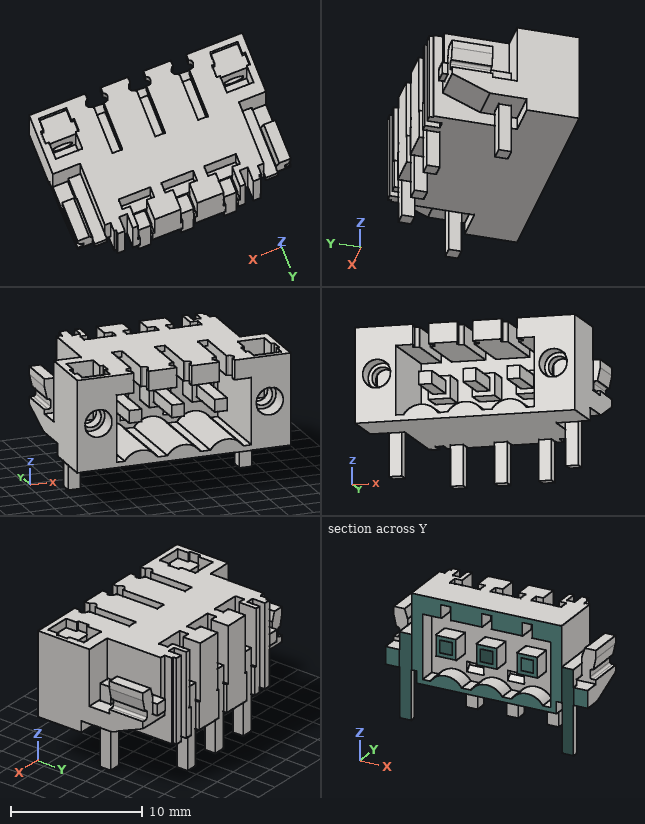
import cadquery as cq
import math

LENGTH = 17.45
DEPTH = 11.05
HEIGHT = 7.45
MOUNT_X = 7.0
PITCH = MOUNT_X / 2
CONTACT_XS = [-PITCH, 0.0, PITCH]
SIDES = (-1, 1)

PIN = 1.01
PIN_Z = 3.5
PIN_TOP = PIN_Z + PIN / 2
PIN_BOTTOM = PIN_Z - PIN / 2
LEG_END = -3.2
CONTACT_FRONT = 1.24
CONTACT_BACK = 10.71
MOUNT_FRONT = 5.03
MOUNT_BACK = 10.49

CORE_HALF = 6.02
CORE_BACK = 10.75
TAIL_HALF = 5.85
WALL_HALF = MOUNT_X - PIN / 2
WALL_BACK = 10.05

FLANGE_BACK = 4.92
FOOT_BACK = 4.15
FOOT_TOP = 1.01
ARM_SLOPE_START = 7.07
ARM_TIP_Z = 2.27
ARM_TOP = 2.53
LATCH_FRONT = 6.84
LATCH_TOP = 5.34
LATCH_TOP_WIDTH = 0.96
LATCH_BEVEL_Z = 4.54
LATCH_LIP_Z = 4.7
HOOK_INSET = 0.23
GROOVE_DEPTH = 0.5
GROOVE_TOP = 3.68
GROOVE_BOTTOM = 2.88
GROOVE_FILLET = 0.2

CAVITY_HALF = 5.5
CAVITY_FLOOR = 0.45
CAVITY_TOP = 5.86
CAVITY_DEPTH = 6.98
RIB_HALF = 1.36
RIB_HEIGHT = 0.72
COLLAR = 1.76
COLLAR_FRONT = 5.0
WINDOW_X = PITCH / 2
WINDOW_WIDTH = 1.43
WINDOW_BOTTOM = 1.15
WINDOW_SILL = 1.57
WINDOW_TOP = 1.99

SLOT_WIDTH = 0.82
SLOT_BACK = 5.08
SLOT_ROOF = 6.98
MOUTH_WIDTH = 1.24
BULGE_LENGTH = 1.75
BULGE_WIDTH = 0.7
BULGE_Y = 0.82

TEE_WIDTH = 2.6
TEE_FRONT = 8.59
TEE_BACK = 9.4
TEE_FLOOR = 4.36
NECK_WIDTH = 1.35
NECK_FRONT = 9.45
NECK_STEP = 10.52
NECK_STEP_Z = 2.45
NOTCH_INNER = 4.6
NOTCH_OUTER = 5.25
NOTCH_FRONT = 9.88

BORE_RADIUS = 1.1
BORE_DEPTH = 1.5
PILOT_RADIUS = 0.8
SCREW_Z = 3.77
POCKET_FRONT = 0.52
POCKET_WIDE_FRONT = 1.52
POCKET_WIDE_BACK = 2.51
POCKET_BACK = 3.91
POCKET_WIDTH = 2.25
POCKET_WIDE = 2.72
WELL_WIDTH = 2.18
POCKET_SHELF = 6.67
POCKET_FLOOR = SCREW_Z - BORE_RADIUS


def block(x0, x1, y0, y1, z0, z1):
    """Box between two opposite corners."""
    return cq.Workplane("XY").box(x1 - x0, y1 - y0, z1 - z0, centered=False).translate((x0, y0, z0))


def centred_block(x, width, y0, y1, z0, z1):
    """Box of the given width centred on x."""
    return block(x - width / 2, x + width / 2, y0, y1, z0, z1)


def side_profile(points, x0, x1):
    """(Y, Z) outline extruded along X from x0 to x1."""
    return cq.Workplane("YZ", origin=(x0, 0, 0)).polyline(points).close().extrude(x1 - x0)


def both_sides(shape):
    """A shape of the -X side together with its mirror image."""
    return shape.union(shape.mirror("YZ"))


def contact_pin(x):
    """Contact: a horizontal arm with a leg down from its rear end."""
    arm = centred_block(x, PIN, CONTACT_FRONT, CONTACT_BACK, PIN_BOTTOM, PIN_TOP)
    leg = centred_block(x, PIN, CONTACT_BACK - PIN, CONTACT_BACK, LEG_END, PIN_TOP)
    return arm.union(leg)


def mounting_pin(x):
    """Mounting pin: a horizontal arm with a leg down from its front end."""
    arm = centred_block(x, PIN, MOUNT_FRONT, MOUNT_BACK, PIN_BOTTOM, PIN_TOP)
    leg = centred_block(x, PIN, MOUNT_FRONT, MOUNT_FRONT + PIN, LEG_END, PIN_TOP)
    return arm.union(leg)


def latch():
    """Hooked latch on the -X arm; its base fills the space below the mounting pin arm."""
    outer = -LENGTH / 2
    inner = -MOUNT_X - PIN / 2
    groove = outer + GROOVE_DEPTH
    arc_middle = GROOVE_FILLET * (1 - math.sqrt(0.5))
    return (
        cq.Workplane("XZ", origin=(0, WALL_BACK, 0))
        .moveTo(-WALL_HALF, ARM_TOP)
        .lineTo(outer, ARM_TOP)
        .lineTo(outer, GROOVE_BOTTOM)
        .lineTo(groove - GROOVE_FILLET, GROOVE_BOTTOM)
        .threePointArc(
            (groove - arc_middle, GROOVE_BOTTOM + arc_middle),
            (groove, GROOVE_BOTTOM + GROOVE_FILLET),
        )
        .lineTo(groove, GROOVE_TOP - GROOVE_FILLET)
        .threePointArc(
            (groove - arc_middle, GROOVE_TOP - arc_middle),
            (groove - GROOVE_FILLET, GROOVE_TOP),
        )
        .lineTo(outer + HOOK_INSET, GROOVE_TOP)
        .lineTo(outer, LATCH_LIP_Z)
        .lineTo(outer, LATCH_TOP)
        .lineTo(outer + LATCH_TOP_WIDTH, LATCH_TOP)
        .lineTo(inner, LATCH_BEVEL_Z)
        .lineTo(inner, PIN_BOTTOM)
        .lineTo(-WALL_HALF, PIN_BOTTOM)
        .close()
        .extrude(WALL_BACK - LATCH_FRONT)
    )


def housing_blank():
    """Stepped body with the side walls, flanges and latch arms."""
    arm_underside = [
        (0, 0),
        (FOOT_BACK, 0),
        (FOOT_BACK, FOOT_TOP),
        (ARM_SLOPE_START, FOOT_TOP),
        (WALL_BACK, ARM_TIP_Z),
    ]
    wall = arm_underside + [(WALL_BACK, HEIGHT), (0, HEIGHT)]
    flange = arm_underside + [
        (WALL_BACK, ARM_TOP),
        (FLANGE_BACK, ARM_TOP),
        (FLANGE_BACK, HEIGHT),
        (0, HEIGHT),
    ]
    body = block(-CORE_HALF, CORE_HALF, 0, CORE_BACK, 0, HEIGHT)
    body = body.union(block(-TAIL_HALF, TAIL_HALF, 0, DEPTH, 0, HEIGHT))
    body = body.union(side_profile(wall, -WALL_HALF, WALL_HALF))
    body = body.union(side_profile(flange, -LENGTH / 2, LENGTH / 2))
    return body.union(both_sides(latch()))


def cavity():
    """Front cavity that leaves a rounded floor rib and a rear collar for each contact."""
    space = block(-CAVITY_HALF, CAVITY_HALF, 0, CAVITY_DEPTH, CAVITY_FLOOR, CAVITY_TOP)
    for x in CONTACT_XS:
        rib = (
            cq.Workplane("XZ")
            .moveTo(x - RIB_HALF, CAVITY_FLOOR)
            .threePointArc((x, CAVITY_FLOOR + RIB_HEIGHT), (x + RIB_HALF, CAVITY_FLOOR))
            .close()
            .extrude(-CAVITY_DEPTH)
        )
        collar = centred_block(
            x, COLLAR, COLLAR_FRONT, CAVITY_DEPTH, PIN_Z - COLLAR / 2, PIN_Z + COLLAR / 2
        )
        space = space.cut(rib).cut(collar)
    return space


def window(x):
    """Pocket in the cavity's rear wall with a floor rising at 45 degrees."""
    back = CAVITY_DEPTH + WINDOW_SILL - WINDOW_BOTTOM
    profile = [
        (CAVITY_DEPTH, WINDOW_BOTTOM),
        (back, WINDOW_SILL),
        (back, WINDOW_TOP),
        (CAVITY_DEPTH, WINDOW_TOP),
    ]
    return side_profile(profile, x - WINDOW_WIDTH / 2, x + WINDOW_WIDTH / 2)


def keyhole_slot(x):
    """Roof slot over a contact: narrow run covered at the rear, oval bulge and front mouth."""
    roof = HEIGHT - CAVITY_TOP
    bulge = (
        cq.Workplane("XY", origin=(x, BULGE_Y, CAVITY_TOP))
        .slot2D(BULGE_LENGTH, BULGE_WIDTH)
        .extrude(roof)
    )
    slot = centred_block(x, SLOT_WIDTH, 0, SLOT_BACK, CAVITY_TOP, HEIGHT)
    covered = centred_block(x, SLOT_WIDTH, 0, CAVITY_DEPTH, CAVITY_TOP, SLOT_ROOF)
    mouth = centred_block(x, MOUTH_WIDTH, 0, BULGE_Y, CAVITY_TOP, HEIGHT)
    return slot.union(covered).union(mouth).union(bulge)


def rear_opening(x):
    """T-shaped rear opening that leads down to the channel of a contact leg."""
    tee = centred_block(x, TEE_WIDTH, TEE_FRONT, TEE_BACK, TEE_FLOOR, HEIGHT)
    neck = centred_block(x, NECK_WIDTH, TEE_FRONT, DEPTH, TEE_FLOOR, HEIGHT)
    well = centred_block(x, NECK_WIDTH, NECK_FRONT, DEPTH, PIN_BOTTOM, HEIGHT)
    step = centred_block(x, NECK_WIDTH, NECK_STEP, DEPTH, NECK_STEP_Z, HEIGHT)
    channel = centred_block(x, PIN, CONTACT_BACK - PIN, DEPTH, 0, HEIGHT)
    return tee.union(neck).union(well).union(step).union(channel)


def rear_notch():
    """Full-height notch near the rear corner of the -X side."""
    return block(-NOTCH_OUTER, -NOTCH_INNER, NOTCH_FRONT, DEPTH, 0, HEIGHT)


def screw_hole(x):
    """Counterbored hole from the front face into the nut pocket."""
    plane = cq.Workplane("XZ", origin=(x, 0, SCREW_Z))
    bore = plane.circle(BORE_RADIUS).extrude(-BORE_DEPTH)
    pilot = plane.circle(PILOT_RADIUS).extrude(-POCKET_WIDE_BACK)
    return bore.union(pilot)


def nut_pocket(x):
    """Stepped pocket from the top: a shallow front shelf and a deep rear well."""
    shelf = centred_block(x, POCKET_WIDTH, POCKET_FRONT, POCKET_WIDE_BACK, POCKET_SHELF, HEIGHT)
    ears = centred_block(x, POCKET_WIDE, POCKET_WIDE_FRONT, POCKET_WIDE_BACK, POCKET_SHELF, HEIGHT)
    well = centred_block(x, WELL_WIDTH, POCKET_WIDE_BACK, POCKET_BACK, POCKET_FLOOR, HEIGHT)
    return shelf.union(ears).union(well)


contact_pins = [contact_pin(x) for x in CONTACT_XS]
mounting_pins = [mounting_pin(side * MOUNT_X) for side in SIDES]

housing = housing_blank().cut(cavity()).cut(both_sides(rear_notch()))
for x in CONTACT_XS:
    housing = housing.cut(keyhole_slot(x)).cut(rear_opening(x))
for side in SIDES:
    housing = housing.cut(window(side * WINDOW_X))
    housing = housing.cut(screw_hole(side * MOUNT_X)).cut(nut_pocket(side * MOUNT_X))
for pin in contact_pins + mounting_pins:
    housing = housing.cut(pin)

pin_solids = [pin.val() for pin in contact_pins + mounting_pins]
result = cq.Compound.makeCompound([housing.val(), *pin_solids])